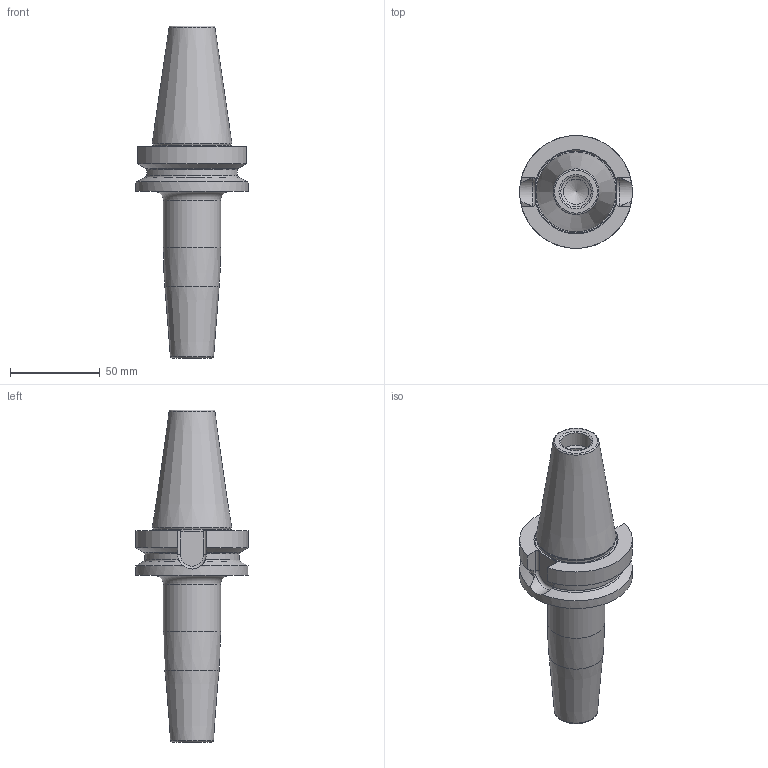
import cadquery as cq
import math


GAUGE_RADIUS = 44.45 / 2
TAPER_LENGTH = 65.4
TAPER_RATE = 7 / 24
SHANK_END_FILLET = 0.8

TAPER_LAND = 0.3
RELIEF_RADIUS = 21.8
RELIEF_START_Z = -1.1
RECESS_RADIUS = 23.5
RECESS_DEPTH = 0.6

FLANGE_RADIUS = 63 / 2
FLANGE_TOP_Z = -2.0
FLANGE_BOTTOM_Z = -27.0
GROOVE_CENTER_Z = -16.6
GROOVE_ROOT_RADIUS = 53 / 2
GROOVE_ROOT_WIDTH = 4.4
GROOVE_HALF_ANGLE = math.radians(30)
GROOVE_FILLET = 1.0

BODY_RADIUS = 32 / 2
BODY_FILLET = 5.0
NOSE_END_Z = -120.0
NOSE_END_RADIUS = 24 / 2
NOSE_END_FILLET = 1.0
NOSE_ANGLE = math.radians(4.5)
NOSE_BLEND_RADIUS = 275.0

SLOT_WIDTH = 16.1
SLOT_FLOOR_X = 22.6
SLOT_END_Z = -23.4
SLOT_FLOOR_FILLET = 1.6

PILOT_RADIUS = 17 / 2
PILOT_DEPTH = 9.0
PILOT_FLARE = 1.0
COUNTERSINK_ANGLE = math.radians(120)
DRILL_RADIUS = 14 / 2
DRILL_DEPTH = 30.0
DRILL_TIP_ANGLE = math.radians(118)


def turned_body():
    """Revolve the outer profile, drawn as (radius, height) from the shank end down."""
    shank_end_radius = GAUGE_RADIUS - TAPER_LENGTH * TAPER_RATE / 2

    groove_rise = (FLANGE_RADIUS - GROOVE_ROOT_RADIUS) * math.tan(GROOVE_HALF_ANGLE)
    root_top_z = GROOVE_CENTER_Z + GROOVE_ROOT_WIDTH / 2
    root_bottom_z = GROOVE_CENTER_Z - GROOVE_ROOT_WIDTH / 2

    nose_slope = math.tan(NOSE_ANGLE)
    cone_meets_body_z = NOSE_END_Z + (BODY_RADIUS - NOSE_END_RADIUS) / nose_slope
    blend_top_z = cone_meets_body_z + NOSE_BLEND_RADIUS * math.tan(NOSE_ANGLE / 2)

    def blend_point(angle):
        radius = BODY_RADIUS - NOSE_BLEND_RADIUS * (1 - math.cos(angle))
        return radius, blend_top_z - NOSE_BLEND_RADIUS * math.sin(angle)

    fillet_offset = BODY_FILLET * (1 - math.sqrt(0.5))
    fillet_mid = (BODY_RADIUS + fillet_offset, FLANGE_BOTTOM_Z - fillet_offset)

    profile = (
        cq.Workplane("XZ")
        .moveTo(0, TAPER_LENGTH)
        .lineTo(shank_end_radius, TAPER_LENGTH)
        .lineTo(GAUGE_RADIUS, 0)
        .lineTo(GAUGE_RADIUS, -TAPER_LAND)
        .lineTo(RELIEF_RADIUS, RELIEF_START_Z)
        .lineTo(RELIEF_RADIUS, FLANGE_TOP_Z - RECESS_DEPTH)
        .lineTo(RECESS_RADIUS - RECESS_DEPTH, FLANGE_TOP_Z - RECESS_DEPTH)
        .lineTo(RECESS_RADIUS, FLANGE_TOP_Z)
        .lineTo(FLANGE_RADIUS, FLANGE_TOP_Z)
        .lineTo(FLANGE_RADIUS, root_top_z + groove_rise)
        .lineTo(GROOVE_ROOT_RADIUS, root_top_z)
        .lineTo(GROOVE_ROOT_RADIUS, root_bottom_z)
        .lineTo(FLANGE_RADIUS, root_bottom_z - groove_rise)
        .lineTo(FLANGE_RADIUS, FLANGE_BOTTOM_Z)
        .lineTo(BODY_RADIUS + BODY_FILLET, FLANGE_BOTTOM_Z)
        .threePointArc(fillet_mid, (BODY_RADIUS, FLANGE_BOTTOM_Z - BODY_FILLET))
        .lineTo(BODY_RADIUS, blend_top_z)
        .threePointArc(blend_point(NOSE_ANGLE / 2), blend_point(NOSE_ANGLE))
        .lineTo(NOSE_END_RADIUS, NOSE_END_Z)
        .lineTo(0, NOSE_END_Z)
        .close()
    )
    body = profile.revolve(360, (0, 0, 0), (0, 1, 0))

    root_zone = cq.selectors.BoxSelector(
        (-FLANGE_RADIUS, -FLANGE_RADIUS, root_bottom_z - GROOVE_FILLET),
        (FLANGE_RADIUS, FLANGE_RADIUS, root_top_z + GROOVE_FILLET),
    )
    body = body.edges(root_zone).edges("%CIRCLE").fillet(GROOVE_FILLET)

    body = body.faces(">Z").edges().fillet(SHANK_END_FILLET)
    return body.faces("<Z").edges().fillet(NOSE_END_FILLET)


def drive_slot(side):
    """Cutter for a round-ended slot; side is +1 for the +X slot and -1 for the -X slot."""
    slot_radius = SLOT_WIDTH / 2
    arc_center_z = SLOT_END_Z + slot_radius
    slot_depth = FLANGE_RADIUS - SLOT_FLOOR_X
    cutter = (
        cq.Workplane("YZ")
        .moveTo(-slot_radius, 0)
        .lineTo(-slot_radius, arc_center_z)
        .threePointArc((0, SLOT_END_Z), (slot_radius, arc_center_z))
        .lineTo(slot_radius, 0)
        .close()
        .extrude(slot_depth)
        .faces("<X")
        .edges("not >Z")
        .fillet(SLOT_FLOOR_FILLET)
        .translate((SLOT_FLOOR_X, 0, 0))
    )
    if side < 0:
        cutter = cutter.mirror("YZ")
    return cutter


def shank_hole():
    """Cutter for the flared pilot bore, its conical seat and the drilled hole with its conical tip."""
    pilot_bottom_z = TAPER_LENGTH - PILOT_DEPTH
    drill_bottom_z = TAPER_LENGTH - DRILL_DEPTH
    flare_depth = PILOT_FLARE / math.tan(COUNTERSINK_ANGLE / 2)
    seat_depth = (PILOT_RADIUS - DRILL_RADIUS) / math.tan(COUNTERSINK_ANGLE / 2)
    tip_length = DRILL_RADIUS / math.tan(DRILL_TIP_ANGLE / 2)
    outline = [
        (0, TAPER_LENGTH),
        (PILOT_RADIUS + PILOT_FLARE, TAPER_LENGTH),
        (PILOT_RADIUS, TAPER_LENGTH - flare_depth),
        (PILOT_RADIUS, pilot_bottom_z),
        (DRILL_RADIUS, pilot_bottom_z - seat_depth),
        (DRILL_RADIUS, drill_bottom_z),
        (0, drill_bottom_z - tip_length),
    ]
    return cq.Workplane("XZ").polyline(outline).close().revolve(360, (0, 0, 0), (0, 1, 0))


result = turned_body().cut(shank_hole())
for slot_side in (1, -1):
    result = result.cut(drive_slot(slot_side))